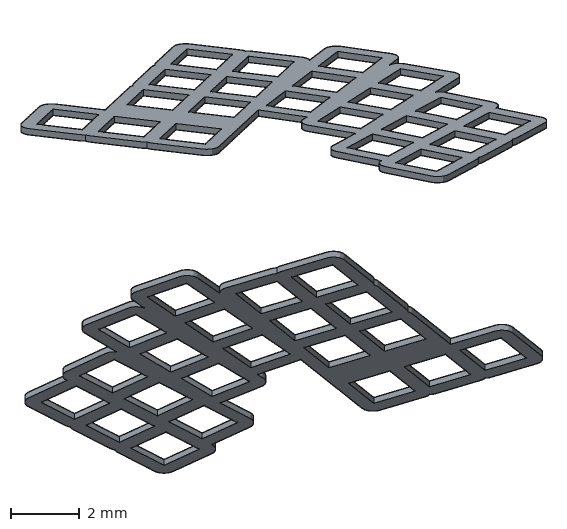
import cadquery as cq
import math

THICKNESS = 0.2
KEY_PITCH = 1.9
KEY_OPENING = 1.4
RIM = 0.45
CORNER_RADIUS = 0.38
ROWS = 3

KEY_OUTLINE = KEY_OPENING + 2 * RIM

LEFT_ANCHOR = (-2.49, 2.61)
LEFT_TILT = 4.0
LEFT_COLUMNS = 2
THUMB_COLUMNS = 3
THUMB_DROP = 2.5

MIDDLE_ANCHOR = (-0.32, 3.99)
MIDDLE_TILT = 0.0

INNER_ANCHOR = (1.91, 3.27)
INNER_TILT = -4.0

OUTER_ANCHOR = (3.93, 1.39)
OUTER_TILT = -8.0
OUTER_STAGGER = 0.4


def shifted(anchor, tilt, along, up):
    """Point reached from the anchor by moving along and up the tilted axes."""
    angle = math.radians(tilt)
    x = anchor[0] + along * math.cos(angle) - up * math.sin(angle)
    y = anchor[1] + along * math.sin(angle) + up * math.cos(angle)
    return (x, y)


def placed(body, center, tilt):
    """Body turned about Z by the tilt and moved to the center."""
    return body.rotate((0, 0, 0), (0, 0, 1), tilt).translate((*center, 0))


def key_centers(anchor, tilt, columns, rows):
    """Centres of a key grid, counted leftward and downward from the anchor."""
    return [
        shifted(anchor, tilt, -column * KEY_PITCH, -row * KEY_PITCH)
        for column in range(columns)
        for row in range(rows)
    ]


def left_bridge():
    """Plain strip joining the lowest left-hand row to the thumb row."""
    span = (LEFT_COLUMNS - 1) * KEY_PITCH
    middle_drop = column_depth + THUMB_DROP / 2
    center = shifted(LEFT_ANCHOR, LEFT_TILT, -span / 2, -middle_drop)
    strip = cq.Workplane("XY").box(span + KEY_OUTLINE, THUMB_DROP, THICKNESS)
    return placed(strip, center, LEFT_TILT)


column_depth = (ROWS - 1) * KEY_PITCH
thumb_anchor = shifted(LEFT_ANCHOR, LEFT_TILT, 0, -column_depth - THUMB_DROP)
last_anchor = shifted(OUTER_ANCHOR, OUTER_TILT, KEY_PITCH, -OUTER_STAGGER)

key_groups = [
    (LEFT_ANCHOR, LEFT_TILT, LEFT_COLUMNS, ROWS),
    (thumb_anchor, LEFT_TILT, THUMB_COLUMNS, 1),
    (MIDDLE_ANCHOR, MIDDLE_TILT, 1, ROWS),
    (INNER_ANCHOR, INNER_TILT, 1, ROWS),
    (OUTER_ANCHOR, OUTER_TILT, 1, ROWS),
    (last_anchor, OUTER_TILT, 1, ROWS),
]

keys = [
    (center, tilt)
    for anchor, tilt, columns, rows in key_groups
    for center in key_centers(anchor, tilt, columns, rows)
]

key_pad = (
    cq.Workplane("XY")
    .box(KEY_OUTLINE, KEY_OUTLINE, THICKNESS)
    .edges("|Z")
    .fillet(CORNER_RADIUS)
)
key_cutter = cq.Workplane("XY").box(KEY_OPENING, KEY_OPENING, 2 * THICKNESS)

plate = left_bridge()
for center, tilt in keys:
    plate = plate.union(placed(key_pad, center, tilt))
plate = plate.clean()

for center, tilt in keys:
    plate = plate.cut(placed(key_cutter, center, tilt))

result = plate